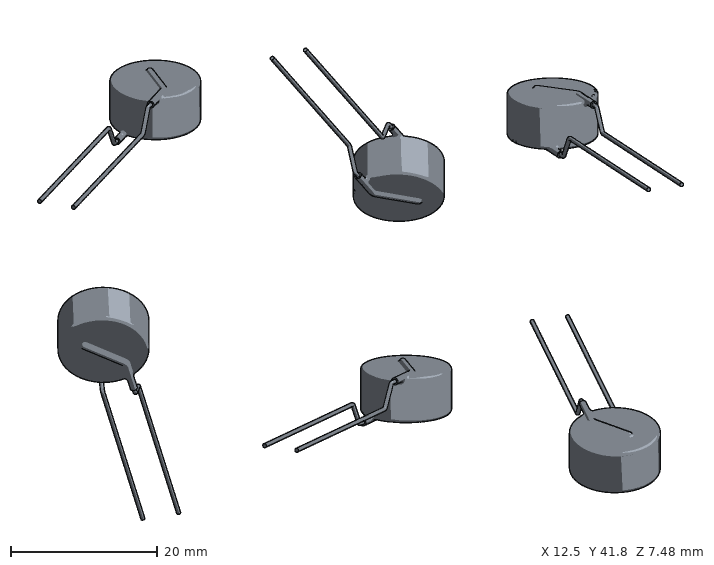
import cadquery as cq
import math

overall_length = 41.8

disc_diameter = 12.5
disc_height = 6.48
disc_edge_radius = 0.5

lead_offset = 2.5
lead_plane_z = disc_height / 2
face_turns = [0, 180]

sleeve_radius = 0.5
sleeve_end_y = -7.77
sleeve_bend_y = -2.85
sleeve_bend_radius = 1.0
sleeve_blend_radius = 0.5
seam_tolerance = 0.0005
sleeve_tails = [(6.15, 41.0), (6.48, 47.0)]

lead_radius = 0.3
socket_depth = 4.18
lead_root_y = sleeve_end_y + socket_depth
lead_tip_y = disc_diameter / 2 - overall_length
lead_knee_y = -8.7
lead_slope_angle = 60.0
lead_bend_radius = 0.5


def bent_rod(points, bend_radius, rod_radius):
    """Round rod along a path of three or more points, with an arc at each inner point."""
    corners = [cq.Vector(*point) for point in points]
    edges = []
    start = corners[0]
    for before, corner, after in zip(corners, corners[1:], corners[2:]):
        inward = (before - corner).normalized()
        outward = (after - corner).normalized()
        half_turn = (math.pi - inward.getAngle(outward)) / 2
        tangent_length = bend_radius * math.tan(half_turn)
        arc_depth = bend_radius / math.cos(half_turn) - bend_radius
        arc_start = corner + inward * tangent_length
        arc_middle = corner + (inward + outward).normalized() * arc_depth
        arc_end = corner + outward * tangent_length
        edges.append(cq.Edge.makeLine(start, arc_start))
        edges.append(cq.Edge.makeThreePointArc(arc_start, arc_middle, arc_end))
        start = arc_end
    edges.append(cq.Edge.makeLine(start, corners[-1]))
    path = cq.Workplane(cq.Wire.assembleEdges(edges))
    profile_plane = cq.Plane(corners[0], normal=corners[1] - corners[0])
    return cq.Workplane(profile_plane).circle(rod_radius).sweep(path)


def make_sleeve(tail_length, tail_angle):
    """Sleeve on the top face: straight from its mouth, then bent across the face to a domed end."""
    turn = math.radians(tail_angle)
    tail_end_x = lead_offset - tail_length * math.sin(turn)
    tail_end_y = sleeve_bend_y + tail_length * math.cos(turn)
    points = [
        (lead_offset, sleeve_end_y, lead_plane_z),
        (lead_offset, sleeve_bend_y, lead_plane_z),
        (tail_end_x, tail_end_y, lead_plane_z),
    ]
    dome = cq.Workplane("XY").sphere(sleeve_radius).translate(points[-1])
    return bent_rod(points, sleeve_bend_radius, sleeve_radius).union(dome)


def make_lead():
    """Wire lead of the top face: straight in its socket, sloping to mid-height, then straight out."""
    slope_run = lead_plane_z / math.tan(math.radians(lead_slope_angle))
    points = [
        (lead_offset, lead_root_y, lead_plane_z),
        (lead_offset, lead_knee_y, lead_plane_z),
        (lead_offset, lead_knee_y - slope_run, 0),
        (lead_offset, lead_tip_y, 0),
    ]
    return bent_rod(points, lead_bend_radius, lead_radius)


def turn_to_face(shape, face_turn):
    return shape.rotate((0, 0, 0), (0, 1, 0), face_turn)


def make_disc():
    disc = cq.Workplane("XY").cylinder(disc_height, disc_diameter / 2)
    return disc.edges().fillet(disc_edge_radius)


def blend_sleeve(body, disc, sleeve):
    """Fillet the seam where a sleeve meets the disc: the edges that lie on the skins of both."""
    skins = [cq.Shell.makeShell(shape.faces().vals()) for shape in (disc, sleeve)]
    seam = []
    for edge in body.edges().vals():
        middle = cq.Vertex.makeVertex(*edge.positionAt(0.5).toTuple())
        if all(middle.distance(skin) < seam_tolerance for skin in skins):
            seam.append(edge)
    return body.newObject(seam).fillet(sleeve_blend_radius)


def make_coating(leads):
    disc = make_disc()
    sleeves = []
    for (tail_length, tail_angle), face_turn in zip(sleeve_tails, face_turns):
        sleeves.append(turn_to_face(make_sleeve(tail_length, tail_angle), face_turn))
    coating = disc
    for sleeve in sleeves:
        coating = coating.union(sleeve)
    for sleeve in sleeves:
        coating = blend_sleeve(coating, disc, sleeve)
    for lead in leads:
        coating = coating.cut(lead)
    return coating


leads = [turn_to_face(make_lead(), face_turn) for face_turn in face_turns]
coating = make_coating(leads)
result = cq.Compound.makeCompound([coating.val(), *[lead.val() for lead in leads]])